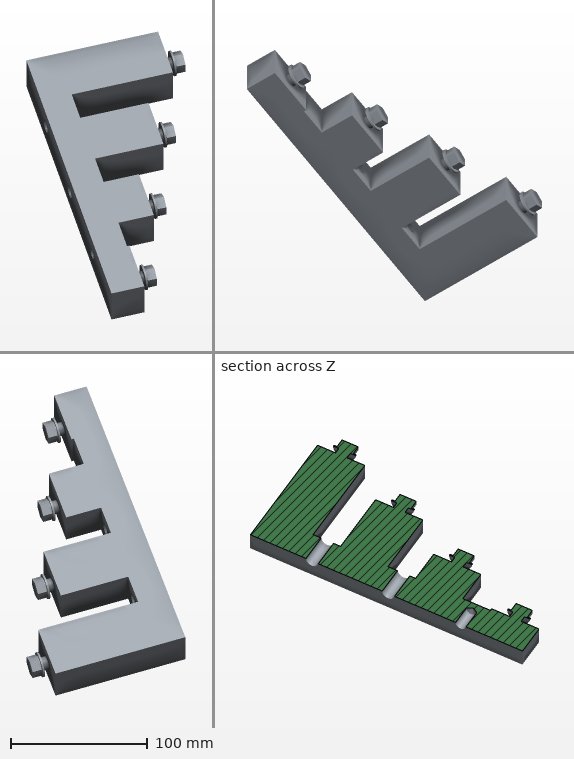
import cadquery as cq
import math

finger_count = 4
finger_width = 40.0
finger_gap = 23.0
finger_pitch = finger_width + finger_gap
longest_finger = 100.0
shortest_finger = 25.0
finger_step = (longest_finger - shortest_finger) / (finger_count - 1)
spine_depth = 23.1
thickness = 30.0
length = finger_count * finger_width + (finger_count - 1) * finger_gap
mid_height = thickness / 2

through_hole_diameter = 10.0
through_hole_places = (52.0, 116.0)
blind_hole_diameter = 8.5
blind_hole_place = 177.0
blind_hole_depth = 16.0
drill_tip_angle = 118.0

shank_diameter = 10.0
shank_length = 4.5
flange_diameter = 19.0
flange_thickness = 1.4
bearing_diameter = 14.0
bearing_thickness = 0.5
head_across_flats = 14.0
bolt_height = 13.3
head_height = bolt_height - shank_length - flange_thickness - bearing_thickness
head_across_corners = head_across_flats / math.cos(math.pi / 6)


def finger_end(index):
    """Y of the end face of a finger, counted from the longest one."""
    return longest_finger - index * finger_step


def make_bar():
    bar = cq.Workplane("XY").box(length, spine_depth, thickness, centered=False)
    for index in range(finger_count):
        finger = cq.Workplane("XY").box(finger_width, finger_end(index), thickness, centered=False)
        bar = bar.union(finger.translate((index * finger_pitch, 0, 0)))
    return bar


def make_through_hole(x):
    hole = cq.Workplane("XZ").circle(through_hole_diameter / 2).extrude(-spine_depth)
    return hole.translate((x, 0, mid_height))


def make_blind_hole(x):
    """Drilled hole with a conical bottom."""
    radius = blind_hole_diameter / 2
    tip_depth = blind_hole_depth + radius / math.tan(math.radians(drill_tip_angle / 2))
    profile = [(0, 0), (radius, 0), (radius, blind_hole_depth), (0, tip_depth)]
    hole = cq.Workplane("XY").polyline(profile).close().revolve(360, (0, 0), (0, 1))
    return hole.translate((x, 0, mid_height))


def make_bolt():
    """Bolt along +Y from the origin, with two head corners pointing along Z."""
    flange_start = shank_length
    bearing_start = flange_start + flange_thickness
    head_start = bearing_start + bearing_thickness

    def disc(diameter, start, height):
        return cq.Workplane("XZ", origin=(0, start, 0)).circle(diameter / 2).extrude(-height)

    head_plane = cq.Workplane("XZ", origin=(0, head_start, 0))
    head = head_plane.polygon(6, head_across_corners).extrude(-head_height)
    head = head.rotate((0, 0, 0), (0, 1, 0), 90)
    bolt = disc(shank_diameter, 0, shank_length)
    bolt = bolt.union(disc(flange_diameter, flange_start, flange_thickness))
    bolt = bolt.union(disc(bearing_diameter, bearing_start, bearing_thickness))
    return bolt.union(head)


result = make_bar()
for hole_x in through_hole_places:
    result = result.cut(make_through_hole(hole_x))
result = result.cut(make_blind_hole(blind_hole_place))

for finger_index in range(finger_count):
    bolt_x = finger_index * finger_pitch + finger_width / 2
    result = result.union(make_bolt().translate((bolt_x, finger_end(finger_index), mid_height)))